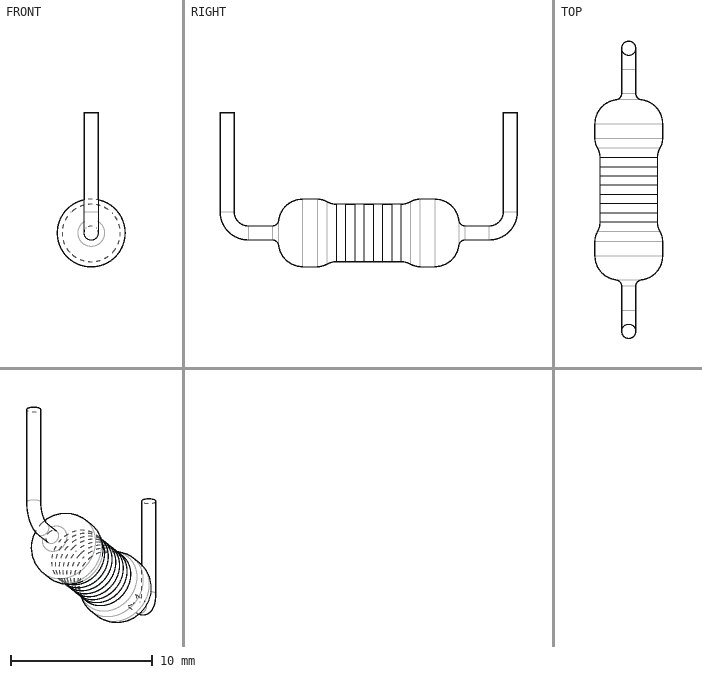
import cadquery as cq
import math

overall_length = 21.0
body_diameter = 4.8
overall_height = 10.9
lead_diameter = 1.0
bend_radius = 1.5

waist_diameter = 4.07
band_diameter = 4.1
band_width = 0.65
band_count = 4

cap_inner = 3.63
cap_outer = 4.66
body_end = 6.36
lead_fillet = 0.45

body_radius = body_diameter / 2
waist_radius = waist_diameter / 2
lead_radius = lead_diameter / 2
neck_radius = lead_radius + lead_fillet
lead_start = body_end + lead_fillet
lead_offset = overall_length / 2 - lead_radius
lead_top = overall_height - body_radius
bands_end = (2 * band_count - 1) * band_width / 2

dome_length = body_end - cap_outer
dome_drop = body_radius - neck_radius
dome_radius = (dome_length**2 + dome_drop**2) / (2 * dome_drop)
dome_center = body_radius - dome_radius

shoulder_length = cap_inner - bands_end
shoulder_drop = body_radius - waist_radius
shoulder_radius = (shoulder_length**2 + shoulder_drop**2) / (4 * shoulder_drop)
shoulder_half_angle = math.atan(shoulder_drop / shoulder_length)
shoulder_mid_y = (cap_inner + bands_end) / 2
shoulder_mid_radius = (body_radius + waist_radius) / 2


def arc_point(center, radius, angle):
    """Point on a circle, with the angle in radians."""
    return (center[0] + radius * math.cos(angle), center[1] + radius * math.sin(angle))


def make_body_end():
    """Revolve the +Y end of the body: shoulder, cap, dome and lead fillet."""
    dome_angle = math.asin(dome_length / dome_radius)
    dome_mid = arc_point((dome_center, cap_outer), dome_radius, dome_angle / 2)
    fillet_mid = arc_point((neck_radius, lead_start), lead_fillet, math.radians(225))
    waist_arc_mid = arc_point(
        (waist_radius + shoulder_radius, bands_end), shoulder_radius, math.pi - shoulder_half_angle
    )
    cap_arc_mid = arc_point(
        (body_radius - shoulder_radius, cap_inner), shoulder_radius, -shoulder_half_angle
    )
    return (
        cq.Workplane("XY")
        .moveTo(0, bands_end)
        .lineTo(waist_radius, bands_end)
        .threePointArc(waist_arc_mid, (shoulder_mid_radius, shoulder_mid_y))
        .threePointArc(cap_arc_mid, (body_radius, cap_inner))
        .lineTo(body_radius, cap_outer)
        .threePointArc(dome_mid, (neck_radius, body_end))
        .threePointArc(fillet_mid, (lead_radius, lead_start))
        .lineTo(0, lead_start)
        .close()
        .revolve(360, (0, 0, 0), (0, 1, 0))
    )


def make_cylinder(diameter, length, center_y):
    """Solid cylinder along Y, centred at center_y."""
    return (
        cq.Workplane("XZ", origin=(0, center_y + length / 2, 0))
        .circle(diameter / 2)
        .extrude(length)
    )


def make_leads():
    """One continuous wire through the body, bent up at both ends."""
    bend_start = lead_offset - bend_radius
    path = (
        cq.Workplane("YZ")
        .moveTo(-lead_offset, lead_top)
        .lineTo(-lead_offset, bend_radius)
        .radiusArc((-bend_start, 0), -bend_radius)
        .lineTo(bend_start, 0)
        .radiusArc((lead_offset, bend_radius), -bend_radius)
        .lineTo(lead_offset, lead_top)
    )
    return (
        cq.Workplane("XY", origin=(0, -lead_offset, lead_top))
        .circle(lead_radius)
        .sweep(path)
    )


body_end_solid = make_body_end()
result = make_cylinder(waist_diameter, 2 * bands_end, 0)
result = result.union(body_end_solid).union(body_end_solid.mirror("XZ"))

for index in range(band_count):
    band_y = (2 * index - (band_count - 1)) * band_width
    result = result.union(make_cylinder(band_diameter, band_width, band_y))

result = result.union(make_leads())